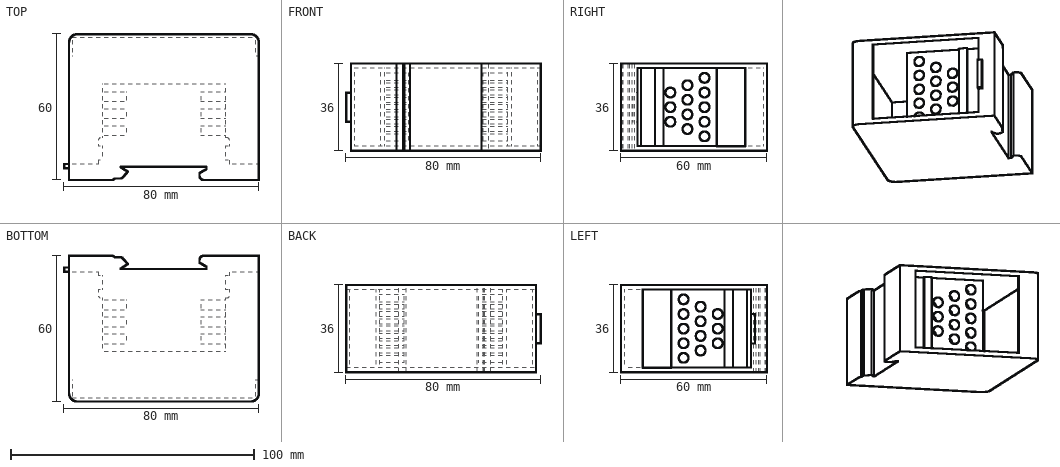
import cadquery as cq
import math

body_length = 78.0
body_height = 60.0
body_width = 36.0
corner_radius = 3.5

slot_depth = 5.5
latch_groove_start_x = 17.4
latch_groove_length = 1.4
latch_groove_radius = 1.8
latch_groove_end_x = latch_groove_start_x + latch_groove_length
latch_groove_depth = latch_groove_radius - math.sqrt(
    latch_groove_radius ** 2 - latch_groove_length ** 2
)
latch_heel_x = 21.4
latch_toe_x = 21.9
latch_toe_y = 0.9
latch_tip_x = 24.2
latch_tip_y = 3.5
latch_root_x = 21.1
hook_tip_x = 53.5
hook_tip_y = 2.9
hook_radius = 2.0
hook_root_x = 56.4
hook_root_y = 4.6

side_wall = 2.0
end_wall = 1.5
roof_wall = 1.5
window_bottom_y = 6.7
window_top_y = 51.0
cavity_top_y = body_height - roof_wall

terminal_inset = 13.7
terminal_top_y = 39.4
lip_projection = 1.5
lip_bottom_y = 14.0
lip_top_y = 17.5
lip_radius = 1.0
ledge_top_y = 8.2

wire_hole_diameter = 4.0
wire_hole_depth = 10.0
wire_hole_pitch = 6.0
wire_column_pitch = 7.0
top_column_y = 34.3
wire_column_counts = (5, 4, 3)

catch_projection = 2.0
catch_height = 1.8
catch_width = 12.0


def box_between(x_range, y_range, z_range):
    """Box filling the given (low, high) ranges."""
    lows, highs = zip(x_range, y_range, z_range)
    size = [high - low for low, high in zip(lows, highs)]
    return cq.Workplane("XY").box(*size, centered=False).translate(lows)


def make_body():
    """Solid body with the rail slot, its latch and its hook."""
    hook_arc_inset = hook_radius * (1 - math.sqrt(0.5))
    outline = (
        cq.Workplane("XY")
        .moveTo(0, 0)
        .lineTo(latch_groove_start_x, 0)
        .tangentArcPoint((latch_groove_end_x, latch_groove_depth), relative=False)
        .lineTo(latch_heel_x, latch_groove_depth)
        .lineTo(latch_toe_x, latch_toe_y)
        .lineTo(latch_tip_x, latch_tip_y)
        .lineTo(latch_root_x, slot_depth)
        .lineTo(hook_root_x, slot_depth)
        .lineTo(hook_root_x, hook_root_y)
        .lineTo(hook_tip_x, hook_tip_y)
        .lineTo(hook_tip_x, hook_radius)
        .threePointArc(
            (hook_tip_x + hook_arc_inset, hook_arc_inset),
            (hook_tip_x + hook_radius, 0),
        )
        .lineTo(body_length, 0)
        .lineTo(body_length, body_height)
        .lineTo(0, body_height)
        .close()
    )
    return outline.extrude(body_width).edges("|Z and >Y").fillet(corner_radius)


def make_cavity():
    """Space inside the walls, plus a window through each end wall."""
    z_range = (side_wall, body_width - side_wall)
    inside = box_between(
        (end_wall, body_length - end_wall), (window_bottom_y, cavity_top_y), z_range
    )
    windows = box_between((0, body_length), (window_bottom_y, window_top_y), z_range)
    return inside.union(windows)


def make_terminal_block():
    """Block across the cavity, with a rounded lip and a low ledge at each end."""
    z_range = (side_wall, body_width - side_wall)
    lip_inset = terminal_inset - lip_projection
    core_x = (terminal_inset, body_length - terminal_inset)
    lip_x = (lip_inset, body_length - lip_inset)
    core = box_between(core_x, (window_bottom_y, terminal_top_y), z_range)
    lip = box_between(lip_x, (lip_bottom_y, lip_top_y), z_range)
    lip = lip.edges("|Z and >Y").fillet(lip_radius)
    ledge = box_between(lip_x, (window_bottom_y, ledge_top_y), z_range)
    return core.union(lip).union(ledge)


def make_wire_holes():
    """Blind wire holes in both ends of the terminal block."""
    centers = []
    for column, count in enumerate(wire_column_counts):
        y = top_column_y - column * wire_column_pitch
        lowest_z = body_width / 2 - (count - 1) * wire_hole_pitch / 2
        centers += [(y, lowest_z + row * wire_hole_pitch) for row in range(count)]

    holes = []
    for start_x in (terminal_inset, body_length - terminal_inset - wire_hole_depth):
        drilled = (
            cq.Workplane("YZ", origin=(start_x, 0, 0))
            .pushPoints(centers)
            .circle(wire_hole_diameter / 2)
            .extrude(wire_hole_depth)
        )
        holes.append(drilled)
    return holes


def make_catch():
    """Small bar on the end wall, flush with the lower edge of the window."""
    return box_between(
        (-catch_projection, 0),
        (window_bottom_y - catch_height, window_bottom_y),
        ((body_width - catch_width) / 2, (body_width + catch_width) / 2),
    )


terminal_block = make_terminal_block()
for holes in make_wire_holes():
    terminal_block = terminal_block.cut(holes)
result = make_body().cut(make_cavity()).union(terminal_block).union(make_catch())